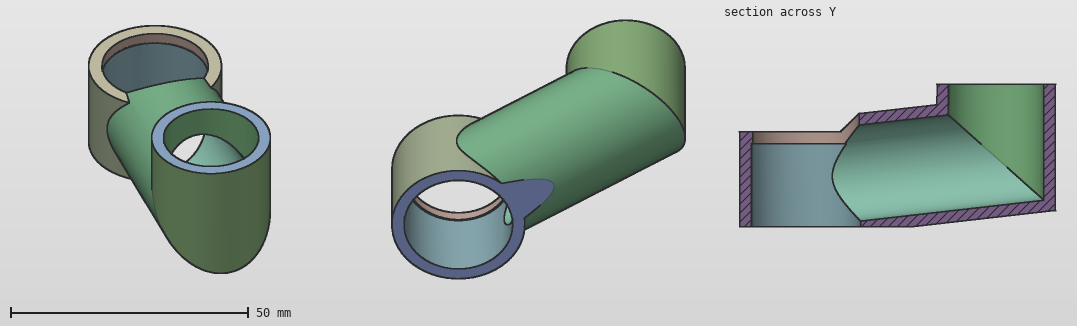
import cadquery as cq
import math

ring_diameter = 28.0
ring_bore = 22.35
ring_height = 20.0
lip_height = 2.5
lip_step = 0.25

pipe_diameter = 25.0
pipe_bore = 20.0
overall_length = 66.5
overall_height = 30.0
elbow_height = 14.55

ring_x = ring_diameter / 2
elbow_x = overall_length - pipe_diameter / 2
pipe_start_height = ring_height / 2
run = elbow_x - ring_x
rise = elbow_height - pipe_start_height
slope_length = math.hypot(run, rise)
slope_angle = math.atan2(rise, run)
mitre_angle = math.pi / 4 - slope_angle / 2
reach = 2 * overall_length


def upright_cylinder(x, diameter, bottom, top):
    return cq.Workplane("XY", origin=(x, 0, bottom)).circle(diameter / 2).extrude(top - bottom)


def mitre_half_space(side):
    """Block above (side = 1) or below (side = -1) the mitre plane."""
    normal = (math.sin(mitre_angle), 0, math.cos(mitre_angle))
    plane = cq.Plane(origin=(elbow_x, 0, elbow_height), xDir=(0, 1, 0), normal=normal)
    return cq.Workplane(plane).rect(reach, reach).extrude(side * reach)


def bent_pipe(diameter):
    """Solid round bar following the slope and the upright, joined at the mitre."""
    axis = (math.cos(slope_angle), 0, math.sin(slope_angle))
    start = cq.Plane(origin=(ring_x, 0, pipe_start_height), xDir=(0, 1, 0), normal=axis)
    slope = cq.Workplane(start).circle(diameter / 2).extrude(slope_length + diameter)
    slope = slope.intersect(mitre_half_space(-1))
    upright = upright_cylinder(elbow_x, diameter, elbow_height - diameter, overall_height)
    upright = upright.intersect(mitre_half_space(1))
    return slope.union(upright)


ring = upright_cylinder(ring_x, ring_diameter, 0, ring_height)
body = ring.union(bent_pipe(pipe_diameter)).cut(bent_pipe(pipe_bore))
body = body.cut(upright_cylinder(ring_x, ring_bore, -reach, reach))

seat_diameter = ring_bore + 2 * lip_step
body = body.cut(upright_cylinder(ring_x, seat_diameter, -reach, ring_height - lip_height))

below_ring = cq.Workplane("XY").rect(2 * reach, reach).extrude(-reach)
result = body.cut(below_ring)